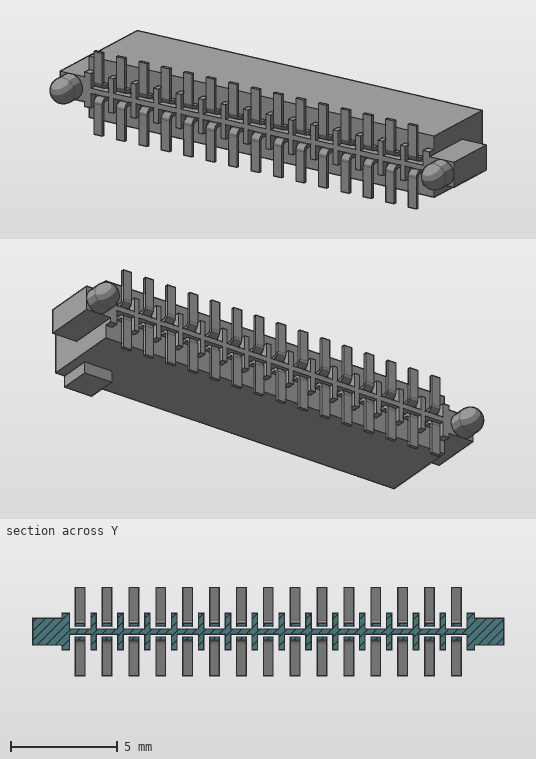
import cadquery as cq


overall_length = 22.23

housing_length = 19.47
housing_height = 3.1
housing_depth = 4.13
housing_front = -housing_depth

rib_depth = 0.4
rib_height = 1.73
middle_rib_height = 0.27
rib_front = housing_front - rib_depth
pocket_width = 1.0

peg_diameter = 1.27
peg_radius = peg_diameter / 2
peg_tip = -5.85
lug_height = peg_diameter
lug_rear = -1.73

pins_per_row = 15
pin_pitch = 1.27
pin_width = 0.47
pin_thickness = 0.15
pin_bend_radius = 0.13
pin_inner_z = 0.25
pin_tip_z = 2.1
pin_front = rib_front - pin_thickness
pin_xs = [(i - (pins_per_row - 1) / 2) * pin_pitch for i in range(pins_per_row)]

key_width = 1.55
key_height = 0.6
key_depth = 1.67
key_left = -9.23


def box(x_min, x_max, y_min, y_max, z_min, z_max):
    """Box between the given limits."""
    size = (x_max - x_min, y_max - y_min, z_max - z_min)
    return cq.Workplane("XY").box(*size, centered=False).translate((x_min, y_min, z_min))


def centered_box(length, y_min, y_max, height):
    """Box that is symmetric about X = 0 and Z = 0."""
    return box(-length / 2, length / 2, y_min, y_max, -height / 2, height / 2)


def make_ribs():
    """Raised front strip, cut by one pocket per pin so that a grid of ribs is left."""
    ribs = centered_box(housing_length, rib_front, housing_front, rib_height)
    pocket_row_height = (rib_height - middle_rib_height) / 2
    pocket_center_z = (rib_height + middle_rib_height) / 4
    pocket_places = [(x, side * pocket_center_z) for x in pin_xs for side in (-1, 1)]
    pockets = (
        cq.Workplane("XZ", origin=(0, housing_front, 0))
        .pushPoints(pocket_places)
        .rect(pocket_width, pocket_row_height)
        .extrude(rib_depth)
    )
    return ribs.cut(pockets)


def make_lug(side):
    """Block at one end of the housing: side is +1 for the +X end, -1 for the -X end."""
    lug_length = (overall_length - housing_length) / 2
    lug_center_x = side * (housing_length + lug_length) / 2
    lug = centered_box(lug_length, rib_front, lug_rear, lug_height)
    return lug.translate((lug_center_x, 0, 0))


def make_peg(side):
    """Cylinder in front of a lug, ending in a hemisphere."""
    peg_center_x = side * (overall_length / 2 - peg_radius)
    dome_start = peg_tip + peg_radius
    return (
        cq.Workplane("XY", origin=(peg_center_x, 0, 0))
        .moveTo(0, rib_front)
        .lineTo(peg_radius, rib_front)
        .lineTo(peg_radius, dome_start)
        .radiusArc((0, peg_tip), peg_radius)
        .close()
        .revolve(360, (0, 0), (0, 1))
    )


def make_pin(x, side):
    """Pin that leaves the housing, bends and runs along Z: side is +1 upward, -1 downward."""
    outer_radius = pin_bend_radius + pin_thickness
    bend_center_y = pin_front + outer_radius
    bend_center_z = pin_inner_z + outer_radius
    pin = (
        cq.Workplane("YZ", origin=(x - pin_width / 2, 0, 0))
        .moveTo(housing_front, pin_inner_z)
        .lineTo(bend_center_y, pin_inner_z)
        .radiusArc((pin_front, bend_center_z), outer_radius)
        .lineTo(pin_front, pin_tip_z)
        .lineTo(rib_front, pin_tip_z)
        .lineTo(rib_front, bend_center_z)
        .radiusArc((bend_center_y, pin_inner_z + pin_thickness), -pin_bend_radius)
        .lineTo(housing_front, pin_inner_z + pin_thickness)
        .close()
        .extrude(pin_width)
    )
    return pin if side > 0 else pin.mirror("XY")


def make_housing():
    """Housing with its ribbed front, lugs, pegs and both rows of pins, as one solid."""
    housing = centered_box(housing_length, housing_front, 0, housing_height)
    housing = housing.union(make_ribs())
    for side in (-1, 1):
        housing = housing.union(make_lug(side))
        housing = housing.union(make_peg(side))
    for x in pin_xs:
        for side in (-1, 1):
            housing = housing.union(make_pin(x, side))
    return housing


def make_key():
    """Block under one end of the housing, flush with its rear face."""
    key_top = -housing_height / 2
    return box(key_left, key_left + key_width, -key_depth, 0, key_top - key_height, key_top)


housing = make_housing()
key = make_key()

result = cq.Compound.makeCompound([housing.val(), key.val()])